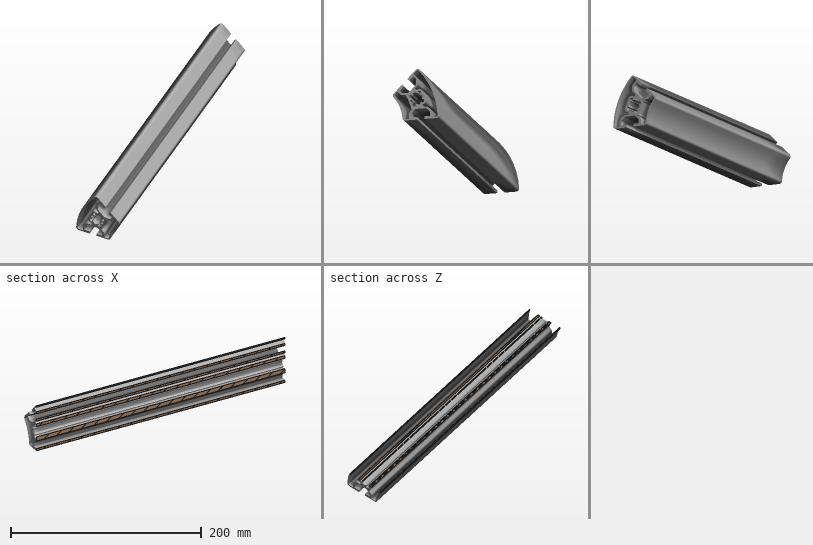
import cadquery as cq
import math


LENGTH = 300.0
BEND_ANGLE = 45.0
OUTER_RADIUS = 79.8
INNER_RADIUS = 40.0
MID_RADIUS = (OUTER_RADIUS + INNER_RADIUS) / 2
CORNER_RADIUS = 3.0

SKIN = 1.5
SKIN_CORNER_RADIUS = CORNER_RADIUS - SKIN

SLOT_WIDTH = 8.0
LIP_THICKNESS = 3.0
CHANNEL_WIDTH = 20.7
CHANNEL_HEIGHT = 11.7
CHANNEL_CHAMFER = 4.5
WEB_OUTER_CHAMFER = 4.5
WEB_INNER_CHAMFER = 6.0
CHAMFER_BLEND = 3.0
OUTER_SIDE_WALL = 1.8
INNER_SIDE_WALL = 2.7
CHANNEL_ROOF = 1.8
RIB_OVERHANG = 1.8

HUB_WIDTH = 17.7
HUB_CORNER_RADIUS = 3.3
HUB_WALL = 1.8
PORT_RADIUS = 6.0
PORT_CORNER_RADIUS = 2.7
LUG_COUNT = 8
LUG_WIDTH = 2.5

HALF_ANGLE = math.radians(BEND_ANGLE / 2)
MIRROR_NORMAL = cq.Vector(math.sin(HALF_ANGLE), 0, math.cos(HALF_ANGLE))
HUB_X = -MID_RADIUS * math.cos(HALF_ANGLE)
HUB_Z = MID_RADIUS * math.sin(HALF_ANGLE)


def extrude(sketch):
    """Extrude a section drawn on the XZ plane along +Y."""
    return sketch.extrude(-LENGTH)


def section():
    return cq.Workplane("XZ")


def rectangle(x_min, x_max, z_min, z_max):
    outline = section().moveTo(x_min, z_min).lineTo(x_max, z_min).lineTo(x_max, z_max).lineTo(x_min, z_max)
    return extrude(outline.close())


def soft_shouldered_block(x_min, x_max, z_min, z_max, left_chamfer, right_chamfer):
    """Block with its two top corners chamfered and the chamfers blended in."""
    outline = (
        section()
        .moveTo(x_min, z_min)
        .lineTo(x_min, z_max - left_chamfer)
        .lineTo(x_min + left_chamfer, z_max)
        .lineTo(x_max - right_chamfer, z_max)
        .lineTo(x_max, z_max - right_chamfer)
        .lineTo(x_max, z_min)
        .close()
    )
    return extrude(outline).edges("|Y and (not <Z)").fillet(CHAMFER_BLEND)


def with_mirror(body):
    """Join a body with its mirror image in the half-angle plane."""
    return body.union(body.mirror(MIRROR_NORMAL))


def ring_sector(r_inner, r_outer, inset, corner_radius):
    """Sector between two radii, with its end faces moved inwards by inset."""

    def arc_point(radius, angle):
        return (-radius * math.cos(angle), radius * math.sin(angle))

    inner_start = math.asin(inset / r_inner)
    outer_start = math.asin(inset / r_outer)
    outline = (
        section()
        .moveTo(*arc_point(r_outer, outer_start))
        .threePointArc(arc_point(r_outer, HALF_ANGLE), arc_point(r_outer, 2 * HALF_ANGLE - outer_start))
        .lineTo(*arc_point(r_inner, 2 * HALF_ANGLE - inner_start))
        .threePointArc(arc_point(r_inner, HALF_ANGLE), arc_point(r_inner, inner_start))
        .close()
    )
    return extrude(outline).edges("|Y").fillet(corner_radius)


def end_solid():
    """Lips, channel walls and the rib up to the hub, before the channel is cut."""
    channel_left = -MID_RADIUS - CHANNEL_WIDTH / 2
    channel_right = -MID_RADIUS + CHANNEL_WIDTH / 2
    roof = CHANNEL_HEIGHT + CHANNEL_ROOF
    left = channel_left - OUTER_SIDE_WALL
    right = channel_right + INNER_SIDE_WALL
    web = soft_shouldered_block(left, right, 0, roof, WEB_OUTER_CHAMFER, WEB_INNER_CHAMFER)
    rib = rectangle(-MID_RADIUS - RIB_OVERHANG, channel_right, CHANNEL_HEIGHT, HUB_Z)
    return web.union(rib)


def end_channel():
    """The T-slot: a channel with chamfered shoulders, opened by a narrower slot between the lips."""
    half = CHANNEL_WIDTH / 2
    channel = soft_shouldered_block(
        -MID_RADIUS - half,
        -MID_RADIUS + half,
        LIP_THICKNESS,
        CHANNEL_HEIGHT,
        CHANNEL_CHAMFER,
        CHANNEL_CHAMFER,
    )
    slot = rectangle(-MID_RADIUS - SLOT_WIDTH / 2, -MID_RADIUS + SLOT_WIDTH / 2, 0, LIP_THICKNESS)
    return channel.union(slot)


def at_hub(body):
    """Move a body built round the Y axis to the hub, x axis turned to point at the bend centre."""
    turned = body.rotate((0, 0, 0), (0, 1, 0), BEND_ANGLE / 2)
    return turned.translate((HUB_X, 0, HUB_Z))


def hub():
    block = extrude(section().rect(HUB_WIDTH, HUB_WIDTH)).edges("|Y").fillet(HUB_CORNER_RADIUS)
    return at_hub(block)


def screw_port():
    """Square bore with radial lugs whose tips lie on the screw's thread circle."""
    bore_width = HUB_WIDTH - 2 * HUB_WALL
    bore = extrude(section().rect(bore_width, bore_width)).edges("|Y").fillet(PORT_CORNER_RADIUS)
    lug = rectangle(0, bore_width, -LUG_WIDTH / 2, LUG_WIDTH / 2)
    pitch = 360 / LUG_COUNT
    for index in range(LUG_COUNT):
        bore = bore.cut(lug.rotate((0, 0, 0), (0, 1, 0), pitch * (index + 0.5)))
    return at_hub(bore.union(extrude(section().circle(PORT_RADIUS))))


envelope = ring_sector(INNER_RADIUS, OUTER_RADIUS, 0, CORNER_RADIUS)
void = ring_sector(INNER_RADIUS + SKIN, OUTER_RADIUS - SKIN, SKIN, SKIN_CORNER_RADIUS)

result = (
    envelope.cut(void)
    .union(with_mirror(end_solid()))
    .union(hub())
    .cut(with_mirror(end_channel()))
    .cut(screw_port())
)